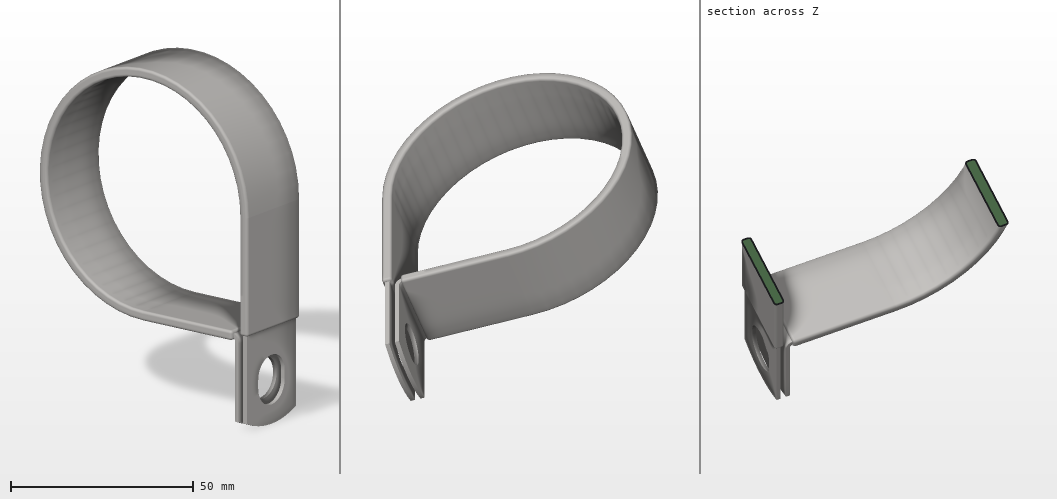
import cadquery as cq
import math


bore_radius = 33.3375
cushion_wall = 0.79375
strap_thickness = 1.2192
strap_width = 22.225
bend_inner_radius = 1.2192
lower_cushion_end_x = 30.7
tab_gap = 1.5875
hole_diameter = 11.90625
slot_height = 14.2875
hole_drop = 49.2
hole_to_tip = 12.7
tip_radius = 25.4

strap_inner_radius = bore_radius + cushion_wall
strap_outer_radius = strap_inner_radius + strap_thickness
cushion_outer_radius = strap_outer_radius + cushion_wall
cushion_width = strap_width + 2 * cushion_wall
bend_outer_radius = bend_inner_radius + strap_thickness
inner_tab_outer_x = strap_inner_radius - tab_gap
inner_tab_inner_x = inner_tab_outer_x - strap_thickness
bend_start_x = inner_tab_outer_x - bend_outer_radius
bend_end_z = -strap_inner_radius - bend_outer_radius
tip_z = -hole_drop - hole_to_tip
side_leg_end_z = -strap_inner_radius


def make_loop(inner_radius, outer_radius, width, side_end_z, lower_end_x):
    """Three-quarter ring with an upright leg at +X and a level leg at -Z."""
    diagonal = math.sqrt(0.5)
    inner_mid = (-inner_radius * diagonal, inner_radius * diagonal)
    outer_mid = (-outer_radius * diagonal, outer_radius * diagonal)
    return (
        cq.Workplane("XZ")
        .moveTo(outer_radius, side_end_z)
        .lineTo(outer_radius, 0)
        .threePointArc(outer_mid, (0, -outer_radius))
        .lineTo(lower_end_x, -outer_radius)
        .lineTo(lower_end_x, -inner_radius)
        .lineTo(0, -inner_radius)
        .threePointArc(inner_mid, (inner_radius, 0))
        .lineTo(inner_radius, side_end_z)
        .close()
        .extrude(width / 2, both=True)
    )


def make_cushion():
    """Rubber loop, rounded along both rims and around both ends."""
    loop = make_loop(bore_radius, cushion_outer_radius, cushion_width, side_leg_end_z, lower_cushion_end_x)
    wall_middle = (bore_radius + cushion_outer_radius) / 2
    side_end = cq.selectors.NearestToPointSelector((wall_middle, 0, side_leg_end_z))
    lower_end = cq.selectors.NearestToPointSelector((lower_cushion_end_x, 0, -wall_middle))
    rims = loop.faces("<Y or >Y").edges()
    ends = loop.faces(side_end).edges().add(loop.faces(lower_end).edges())
    return rims.add(ends).fillet(cushion_wall)


def make_inner_tab():
    """Bend at the end of the level leg, with the tab hanging from it."""
    return (
        cq.Workplane("XZ")
        .moveTo(bend_start_x, -strap_inner_radius)
        .radiusArc((inner_tab_outer_x, bend_end_z), bend_outer_radius)
        .lineTo(inner_tab_outer_x, tip_z)
        .lineTo(inner_tab_inner_x, tip_z)
        .lineTo(inner_tab_inner_x, bend_end_z)
        .radiusArc((bend_start_x, -strap_outer_radius), -bend_inner_radius)
        .close()
        .extrude(strap_width / 2, both=True)
    )


def make_strap_outline():
    """Block over the whole strap in side outline, rounded at the tip."""
    half_width = strap_width / 2
    corner_z = tip_z + tip_radius - math.sqrt(tip_radius**2 - half_width**2)
    return (
        cq.Workplane("YZ")
        .moveTo(-half_width, strap_outer_radius)
        .lineTo(-half_width, corner_z)
        .threePointArc((0, tip_z), (half_width, corner_z))
        .lineTo(half_width, strap_outer_radius)
        .close()
        .extrude(strap_outer_radius, both=True)
    )


def make_inner_hole_cutter():
    """Cylinder through the inner tab."""
    return (
        cq.Workplane("YZ", origin=(inner_tab_inner_x, 0, -hole_drop))
        .circle(hole_diameter / 2)
        .extrude(strap_thickness)
    )


def make_outer_slot_cutter():
    """Upright round-ended slot through the outer tab, centred on the bolt hole."""
    return (
        cq.Workplane("YZ", origin=(strap_inner_radius, 0, -hole_drop))
        .slot2D(slot_height, hole_diameter, 90)
        .extrude(strap_thickness)
    )


def make_strap():
    """Metal loop running straight down into the outer tab, joined to the bent inner tab."""
    loop = make_loop(strap_inner_radius, strap_outer_radius, strap_width, tip_z, bend_start_x)
    blank = loop.union(make_inner_tab()).intersect(make_strap_outline())
    return blank.cut(make_inner_hole_cutter()).cut(make_outer_slot_cutter())


result = make_cushion().union(make_strap())